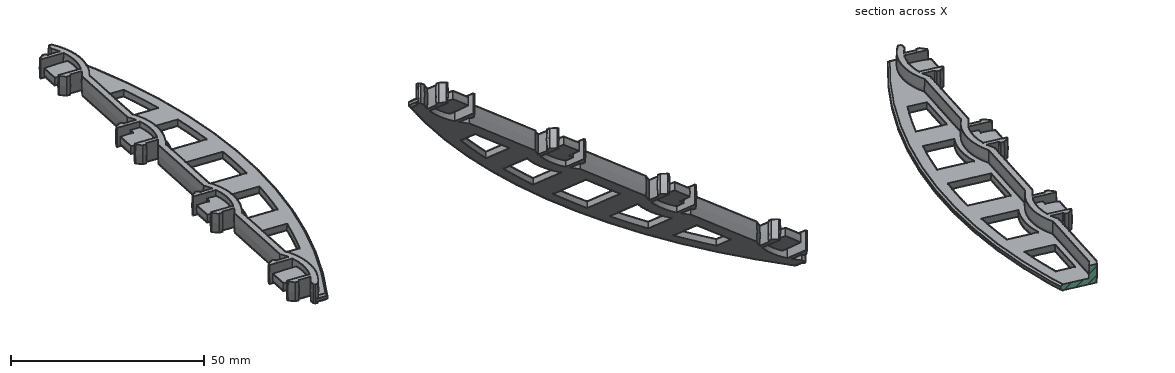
import cadquery as cq

length = 140.0
height = 5.7
draft_angle = 2.0
half_length = length / 2
parting_z = height / 2

plate_thickness = 2.0
plate_edge_chamfer = 0.5
crown_y = 20.0
plate_end_y = 4.0
bow_rise = crown_y - plate_end_y
bow_radius = (half_length**2 + bow_rise**2) / (2 * bow_rise)
bow_center_y = crown_y - bow_radius

rail_width = 2.1
rail_corner_chamfer = 0.4
clip_pitch = 40.0
arch_outer_radius = 17.1
arch_inner_radius = arch_outer_radius - rail_width
arch_top_y = 4.5
arch_center_y = arch_top_y - arch_outer_radius
arch_middle_y = arch_top_y - rail_width / 2

plain_window_xs = (-clip_pitch, 0, clip_pitch)
window_half_width = 6.2
window_sill_y = 3.8
rim_width = 3.9
arch_rim_width = 1.7

clip_tip_y = -5.0
arm_root_y = rail_width
arm_inner_x = 4.5
arm_outer_x = 5.9
hook_outer_x = 6.5
hook_root_y = -2.1
hook_top_y = -2.4
hook_bottom_y = -3.5
hook_tip_x = 5.2
tab_thickness = 2.4
tab_shoulder_y = -1.1
tab_half_width = 3.1
tab_tip_half_width = 2.8

inner_clip_x = clip_pitch / 2
outer_clip_x = inner_clip_x + clip_pitch
inner_clip_xs = (-inner_clip_x, inner_clip_x)
clip_xs = (-outer_clip_x, *inner_clip_xs, outer_clip_x)


def drafted(outline, thickness=height, angle=draft_angle):
    """Extrude an outline both ways from the parting plane, tapering by the draft angle."""
    upper = outline.extrude(thickness / 2, taper=angle)
    return upper.union(upper.mirror("XY")).translate((0, 0, parting_z))


def polygon(points):
    """Closed outline through the given points."""
    return cq.Workplane("XY").polyline(points).close()


def circle(x, y, radius):
    """Circular outline."""
    return cq.Workplane("XY").center(x, y).circle(radius)


def mirrored_polygon(center_x, half_points):
    """Outline symmetric about center_x, from the points of its right half."""
    right = [(center_x + px, py) for px, py in half_points]
    left = [(center_x - px, py) for px, py in reversed(half_points)]
    return polygon(right + left)


def make_plate():
    """Thin plate with a straight front and a bowed, chamfered edge."""
    plate = (
        cq.Workplane("XY")
        .moveTo(-half_length, rail_corner_chamfer)
        .lineTo(half_length, rail_corner_chamfer)
        .lineTo(half_length, plate_end_y)
        .threePointArc((0, crown_y), (-half_length, plate_end_y))
        .close()
        .extrude(plate_thickness)
    )
    return plate.faces(">Y or <X or >X").edges("not |Z").chamfer(plate_edge_chamfer)


def make_window(x):
    """Window cutter, slightly wider at its top, whose upper edge runs parallel to the bowed edge."""
    column = mirrored_polygon(x, [(window_half_width, window_sill_y), (window_half_width, crown_y)])
    below_bow = circle(0, bow_center_y, bow_radius - rim_width)
    column = column.extrude(plate_thickness, taper=-draft_angle)
    return column.intersect(below_bow.extrude(plate_thickness, taper=-draft_angle))


def make_arch_rim(x):
    """Cutter limit that leaves a curved sill behind the arch of one clip."""
    rim = circle(x, arch_center_y, arch_outer_radius + arch_rim_width)
    return rim.extrude(plate_thickness, taper=draft_angle)


def make_rail():
    """Straight rail with an arch bulging over every clip."""
    rail = drafted(mirrored_polygon(0, [(outer_clip_x, 0), (outer_clip_x, rail_width)]))
    arch_limit = drafted(mirrored_polygon(0, [
        (half_length - rail_corner_chamfer, 0),
        (half_length, rail_corner_chamfer),
        (half_length, crown_y),
    ]))
    for x in clip_xs:
        arch = drafted(circle(x, arch_center_y, arch_outer_radius))
        rail = rail.union(arch.intersect(arch_limit))
    return rail


def make_arch_hollow(x):
    """Cutter below the arch of one clip, widening away from the parting plane."""
    return drafted(circle(x, arch_center_y, arch_inner_radius), angle=-draft_angle)


def make_arm(x, side):
    """Snap arm with a hook on its outer face; side is -1 or 1."""
    profile = [
        (arm_inner_x, arm_root_y),
        (arm_outer_x, arm_root_y),
        (arm_outer_x, hook_root_y),
        (hook_outer_x, hook_top_y),
        (hook_outer_x, hook_bottom_y),
        (hook_tip_x, clip_tip_y),
        (arm_inner_x, clip_tip_y),
    ]
    return drafted(polygon([(x + side * px, py) for px, py in profile]))


def make_tab(x):
    """Tongue at mid height that starts inside the arch and narrows to its tip."""
    half_points = [
        (tab_tip_half_width, clip_tip_y),
        (tab_half_width, tab_shoulder_y),
        (tab_half_width, arch_middle_y),
    ]
    return drafted(mirrored_polygon(x, half_points), tab_thickness)


def make_tab_base(x):
    """Wide root of a tab that fills the space between the arms."""
    half_points = [(arm_inner_x, tab_shoulder_y), (arm_inner_x, arch_middle_y)]
    return drafted(mirrored_polygon(x, half_points), tab_thickness)


plate = make_plate()
for x in plain_window_xs:
    plate = plate.cut(make_window(x))
for x in inner_clip_xs:
    plate = plate.cut(make_window(x).cut(make_arch_rim(x)))

result = plate.union(make_rail())
for x in clip_xs:
    result = result.cut(make_arch_hollow(x))
for x in clip_xs:
    for side in (-1, 1):
        result = result.union(make_arm(x, side))
    result = result.union(make_tab(x))
for x in inner_clip_xs:
    result = result.union(make_tab_base(x))